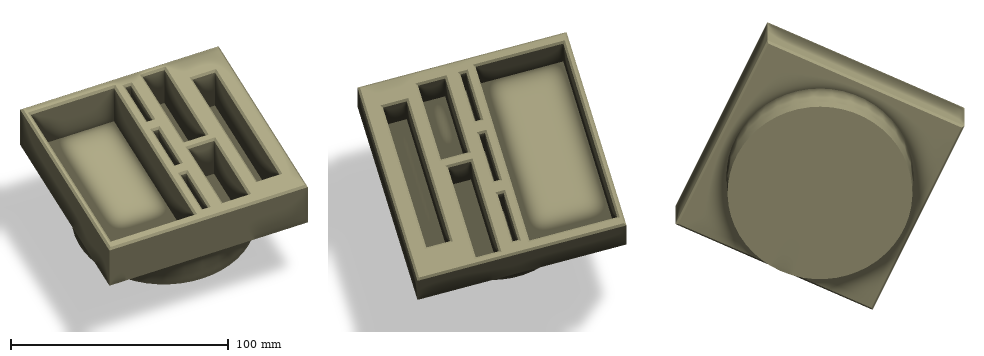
import cadquery as cq

block_side = 100.0
block_height = 25.0
edge_chamfer = 1.0

plug_height = 22.0
plug_bottom_diameter = 85.0
plug_top_diameter = 86.0

top_z = plug_height + block_height

rim_chamfer = 1.0
pocket_depth = 22.5

long_pocket_size = (72.3, 11.4)
long_pocket_center = (1.0, 35.8)

left_pocket_size = (46.3, 11.0)
left_pocket_center = (-23.0, 15.5)

right_pocket_size = (38.2, 13.0)
right_pocket_center = (24.1, 16.5)

slot_size = (24.2, 2.8)
slot_pitch = 31.1
slot_center_y = 1.3

main_pocket_size = (89.8, 42.0)
main_pocket_center = (0.0, -26.0)


def make_block():
    """Square block with its top and bottom outer edges chamfered."""
    block = cq.Workplane("XY", origin=(0, 0, plug_height)).box(
        block_side, block_side, block_height, centered=(True, True, False)
    )
    return block.faces("<Z or >Z").edges().chamfer(edge_chamfer)


def make_plug():
    """Round plug that widens slightly towards the block."""
    return (
        cq.Workplane("XY")
        .circle(plug_bottom_diameter / 2)
        .workplane(offset=plug_height)
        .circle(plug_top_diameter / 2)
        .loft(ruled=True)
    )


def make_pocket(size, center):
    """Cutting body for one straight pocket with a chamfered rim."""
    length, width = size
    x, y = center
    walls = cq.Workplane("XY", origin=(x, y, top_z)).rect(length, width).extrude(-pocket_depth)
    rim = (
        cq.Workplane("XY", origin=(x, y, top_z - rim_chamfer))
        .rect(length, width)
        .workplane(offset=rim_chamfer)
        .rect(length + 2 * rim_chamfer, width + 2 * rim_chamfer)
        .loft(ruled=True)
    )
    return walls.union(rim)


pockets = [
    (long_pocket_size, long_pocket_center),
    (left_pocket_size, left_pocket_center),
    (right_pocket_size, right_pocket_center),
    (main_pocket_size, main_pocket_center),
]
for column in (-1, 0, 1):
    pockets.append((slot_size, (column * slot_pitch, slot_center_y)))

result = make_block().union(make_plug())
for size, center in pockets:
    result = result.cut(make_pocket(size, center))